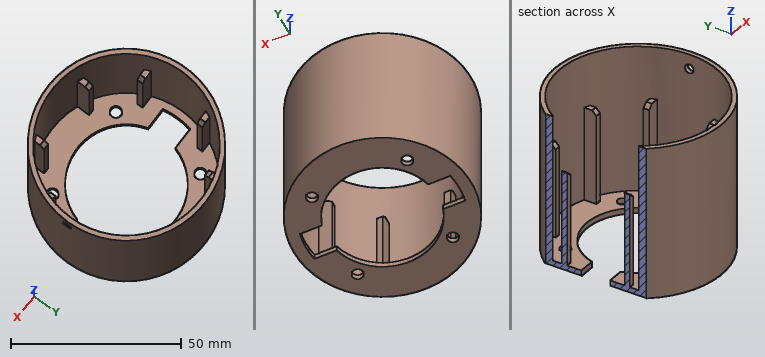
import cadquery as cq
import math

outer_diameter = 58.0
inner_diameter = 54.8
height = 52.0
floor_thickness = 2.0

opening_diameter = 36.0
slot_span = 50.0
slot_width = 10.0

screw_hole_diameter = 3.6
screw_spacing = 31.0

rib_width = 2.0
rib_offset = 11.0
rib_tip_distance = 21.2
rib_top = 34.0
rib_chamfer = 1.5

wall_hole_diameter = 3.0
wall_hole_below_rim = 5.0

outer_radius = outer_diameter / 2
inner_radius = inner_diameter / 2


def make_cup():
    body = cq.Workplane("XY").circle(outer_radius).extrude(height)
    cavity = (
        cq.Workplane("XY")
        .workplane(offset=floor_thickness)
        .circle(inner_radius)
        .extrude(height - floor_thickness)
    )
    return body.cut(cavity)


def make_floor_opening():
    round_hole = cq.Workplane("XY").circle(opening_diameter / 2).extrude(floor_thickness)
    slot_limit = cq.Workplane("XY").circle(slot_span / 2).extrude(floor_thickness)
    slot = cq.Workplane("XY").rect(slot_span, slot_width).extrude(floor_thickness)
    return round_hole.union(slot.intersect(slot_limit))


def make_screw_holes():
    return (
        cq.Workplane("XY")
        .rect(screw_spacing, screw_spacing, forConstruction=True)
        .vertices()
        .circle(screw_hole_diameter / 2)
        .extrude(floor_thickness)
    )


def make_rib(offset):
    """Rib on the +X side at Y = offset, with its inner top edge chamfered."""
    wall_middle_radius = (outer_radius + inner_radius) / 2
    root_distance = math.sqrt(wall_middle_radius**2 - offset**2)
    profile = [
        (rib_tip_distance, 0),
        (root_distance, 0),
        (root_distance, rib_top),
        (rib_tip_distance + rib_chamfer, rib_top),
        (rib_tip_distance, rib_top - rib_chamfer),
    ]
    return (
        cq.Workplane("XZ", origin=(0, offset, 0))
        .polyline(profile)
        .close()
        .extrude(rib_width / 2, both=True)
    )


def make_wall_hole():
    return (
        cq.Workplane("YZ")
        .center(0, height - wall_hole_below_rim)
        .circle(wall_hole_diameter / 2)
        .extrude(outer_diameter)
    )


result = make_cup()
for side_angle in (0, 90, 180, 270):
    for offset in (-rib_offset, rib_offset):
        rib = make_rib(offset).rotate((0, 0, 0), (0, 0, 1), side_angle)
        result = result.union(rib)
result = result.cut(make_floor_opening())
result = result.cut(make_screw_holes())
result = result.cut(make_wall_hole())